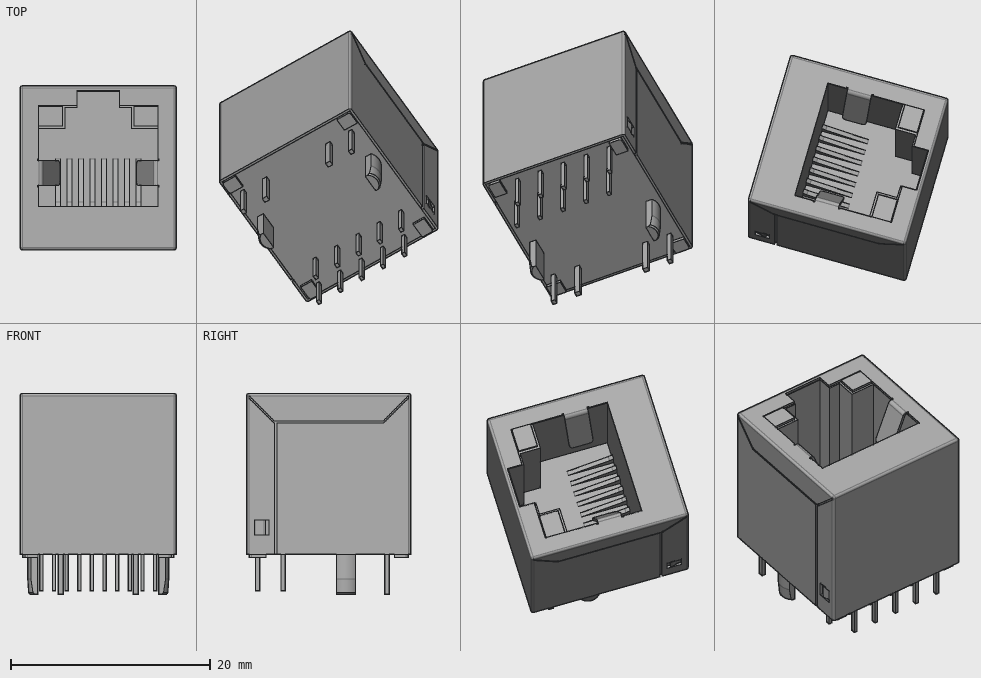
import cadquery as cq
import math


width = 15.7
depth = 16.5
height = 16.17
sheet = 0.25
bend_radius = 0.25

opening_half_width = 6.02
opening_front = -3.86
opening_back = 6.24
notch_half_width = 2.13
notch_back = 7.77
cavity_depth = 12.0
cavity_notch_setback = 0.08
cavity_back_setback = 0.17

tab_front = -1.77
tab_back = 0.72
tab_flat = 0.08
tab_reach = 2.17
tab_bend_radius = 0.44
tab_angle = math.radians(68)
tab_corner_radius = 0.42
tab_relief_width = 0.15
tab_relief_depth = 0.1

seam = 0.17
side_seam = 0.25
flap_height = 2.8
flap_half_width = depth / 2 - flap_height

window_front = -7.48
window_back = -5.98
window_bottom = 1.94
window_top = 3.43
wedge_front = -7.4
wedge_crest_front = -6.5
wedge_back = -6.36
wedge_rise = 0.2

light_inner = 3.6
light_front = 4.19
light_back = 6.16
light_column_inner = 3.36
light_column_front = 3.96

contact_count = 8
contact_pitch = 1.155
contact_width = 0.46
contact_end = 0.89
contact_bend = -3.43
contact_angle = math.radians(12)
contact_bend_angle = math.radians(28)

standoff_height = 0.34
standoff_inner = 6.05
standoff_front_length = 1.7
standoff_back_length = 1.42
standoff_radius = 0.25
standoff_front_outer = 7.35
post_y = 1.73
post_width = 1.94
post_inner = 6.07
post_edge = 6.76
post_outer = 7.09
post_length = 4.03
post_taper_start = 2.5
post_chamfer_start = 3.85
post_face_taper = 0.09
post_edge_taper = 0.2
post_face_chamfer = 0.24
post_edge_chamfer = 0.42
signal_pin_size = (0.35, 0.46)
signal_pin_length = 3.68
signal_pin_pitch = 1.27
signal_pin_count = 10
signal_row_front = -7.15
signal_row_back = -4.58
long_pin_y = 5.85
long_pin_depth = 0.5
inner_long_pin_x = 3.77
inner_long_pin_width = 0.53
outer_long_pin_x = 6.42
outer_long_pin_width = 0.42

housing_width = width - 2 * sheet
housing_depth = depth - 2 * sheet
housing_height = height - sheet


def block(x0, x1, y0, y1, z0, z1):
    """Axis-aligned box between opposite corners."""
    return cq.Workplane("XY").box(x1 - x0, y1 - y0, z1 - z0, centered=False).translate((x0, y0, z0))


def both_sides(solid):
    """The solid together with its mirror image across the YZ plane."""
    return solid.union(solid.mirror("YZ"))


def shield_opening():
    main = block(-opening_half_width, opening_half_width, opening_front, opening_back, housing_height, height)
    notch = block(-notch_half_width, notch_half_width, opening_front, notch_back, housing_height, height)
    return main.union(notch)


def tab_reliefs():
    reliefs = cq.Workplane("XY")
    outer = opening_half_width + tab_relief_depth
    for y0 in (tab_front - tab_relief_width, tab_back):
        reliefs = reliefs.add(
            block(opening_half_width, outer, y0, y0 + tab_relief_width, housing_height, height)
        )
    return both_sides(reliefs.combine())


def spring_tab():
    """Tab on the +X side: a flat root, a bend and a straight leg sloping down into the cavity."""
    centre_x = opening_half_width - tab_flat
    centre_z = height - tab_bend_radius
    inner_radius = tab_bend_radius - sheet

    def on_bend(radius, angle):
        return (centre_x - radius * math.sin(angle), centre_z + radius * math.cos(angle))

    outer_end = on_bend(tab_bend_radius, tab_angle)
    inner_end = on_bend(inner_radius, tab_angle)
    leg = (outer_end[0] - opening_half_width + tab_reach) / math.cos(tab_angle)
    leg_dx = -leg * math.cos(tab_angle)
    leg_dz = -leg * math.sin(tab_angle)
    tab = (
        cq.Workplane("XZ", origin=(0, tab_back, 0))
        .moveTo(opening_half_width, height)
        .lineTo(centre_x, height)
        .threePointArc(on_bend(tab_bend_radius, tab_angle / 2), outer_end)
        .line(leg_dx, leg_dz)
        .lineTo(inner_end[0] + leg_dx, inner_end[1] + leg_dz)
        .lineTo(*inner_end)
        .threePointArc(on_bend(inner_radius, tab_angle / 2), (centre_x, housing_height))
        .lineTo(opening_half_width, housing_height)
        .close()
        .extrude(tab_back - tab_front)
    )
    return tab.faces("<Z").edges("not |Y").fillet(tab_corner_radius)


def flap_seams():
    """Slots on the -X side that part the top flap and the front flap from the side panel."""
    x0 = -width / 2
    x1 = x0 + sheet
    flap_bottom = height - flap_height
    slots = block(x0, x1, -flap_half_width, flap_half_width, flap_bottom - seam, flap_bottom)
    slots = slots.union(block(x0, x1, -flap_half_width, -flap_half_width + side_seam, 0, flap_bottom))
    run = flap_height - sheet
    for side in (-1, 1):
        y = side * flap_half_width
        mitre = (
            cq.Workplane("YZ", origin=(x0, 0, 0))
            .polyline(
                [
                    (y, flap_bottom),
                    (y + side * run, flap_bottom + run),
                    (y + side * run, flap_bottom + run - seam * math.sqrt(2)),
                    (y + side * seam * (math.sqrt(2) - 1), flap_bottom - seam),
                    (y, flap_bottom - seam),
                ]
            )
            .close()
            .extrude(sheet)
        )
        slots = slots.union(mitre)
    return slots


def build_shield():
    shield = (
        block(-width / 2, width / 2, -depth / 2, depth / 2, 0, height)
        .edges("|Z or >Z")
        .fillet(bend_radius)
    )
    shield = shield.cut(
        block(-housing_width / 2, housing_width / 2, -housing_depth / 2, housing_depth / 2, 0, housing_height)
    )
    shield = shield.cut(shield_opening()).cut(tab_reliefs())
    shield = shield.cut(both_sides(flap_seams()))
    window = block(-width / 2, -housing_width / 2, window_front, window_back, window_bottom, window_top)
    shield = shield.cut(both_sides(window))
    return shield.union(both_sides(spring_tab()))


def cavity():
    bottom = housing_height - cavity_depth
    main = block(
        -opening_half_width,
        opening_half_width,
        opening_front,
        opening_back - cavity_back_setback,
        bottom,
        housing_height,
    )
    notch = block(
        -notch_half_width,
        notch_half_width,
        opening_front,
        notch_back - cavity_notch_setback,
        bottom,
        housing_height,
    )
    light_column = block(
        light_column_inner, opening_half_width, light_column_front, opening_back, bottom, housing_height
    )
    return main.union(notch).cut(both_sides(light_column))


def contacts():
    """Ramps rising from the cavity floor to its front wall, steeper past the bend."""
    floor = housing_height - cavity_depth
    bend_z = floor + (contact_end - contact_bend) * math.tan(contact_angle)
    wall_z = bend_z + (contact_bend - opening_front) * math.tan(contact_bend_angle)
    ramps = cq.Workplane("XY")
    for i in range(contact_count):
        x = (i - (contact_count - 1) / 2) * contact_pitch
        ramp = (
            cq.Workplane("YZ", origin=(x - contact_width / 2, 0, 0))
            .polyline(
                [(opening_front, floor), (contact_end, floor), (contact_bend, bend_z), (opening_front, wall_z)]
            )
            .close()
            .extrude(contact_width)
        )
        ramps = ramps.add(ramp)
    return ramps.combine()


def latch_wedge():
    """Wedge on the -X side that stands in the latch window."""
    x = -housing_width / 2
    return (
        cq.Workplane("XY", origin=(0, 0, window_bottom))
        .polyline(
            [(x, wedge_front), (x - wedge_rise, wedge_crest_front), (x - wedge_rise, wedge_back), (x, wedge_back)]
        )
        .close()
        .extrude(window_top - window_bottom)
    )


def standoffs():
    half = housing_depth / 2
    front = block(
        standoff_inner, standoff_front_outer, -half, -half + standoff_front_length, -standoff_height, 0
    )
    back = block(standoff_inner, housing_width / 2, half - standoff_back_length, half, -standoff_height, 0)
    front = front.edges("|Z and >X and <Y").fillet(standoff_radius)
    back = back.edges("|Z and >X and >Y").fillet(standoff_radius)
    return both_sides(front.union(back))


def post_section(face_inset, edge_inset, z):
    """Flat-backed post outline with the crown and the edges of its round face moved inward."""
    y0 = post_y - post_width / 2
    y1 = post_y + post_width / 2
    return (
        cq.Workplane("XY", origin=(0, 0, z))
        .moveTo(post_inner, y0)
        .lineTo(post_edge - edge_inset, y0)
        .threePointArc((post_outer - face_inset, post_y), (post_edge - edge_inset, y1))
        .lineTo(post_inner, y1)
        .close()
        .wires()
        .val()
    )


def locating_post():
    sections = [
        post_section(0, 0, 0),
        post_section(0, 0, -post_taper_start),
        post_section(post_face_taper, post_edge_taper, -post_chamfer_start),
        post_section(post_face_chamfer, post_edge_chamfer, -post_length),
    ]
    return cq.Workplane(cq.Solid.makeLoft(sections, True))


def pin(x, y, size, length):
    return cq.Workplane("XY").center(x, y).rect(*size).extrude(-length)


def build_housing():
    housing = block(
        -housing_width / 2, housing_width / 2, -housing_depth / 2, housing_depth / 2, 0, housing_height
    )
    housing = housing.cut(cavity()).union(contacts())
    light = block(light_inner, opening_half_width, light_front, light_back, housing_height, height)
    for detail in (light, latch_wedge(), locating_post()):
        housing = housing.union(both_sides(detail))
    housing = housing.union(standoffs())
    for i in range(signal_pin_count):
        x = (i - (signal_pin_count - 1) / 2) * signal_pin_pitch
        y = signal_row_front if i % 2 else signal_row_back
        housing = housing.union(pin(x, y, signal_pin_size, signal_pin_length))
    for x, pin_width in ((inner_long_pin_x, inner_long_pin_width), (outer_long_pin_x, outer_long_pin_width)):
        housing = housing.union(both_sides(pin(x, long_pin_y, (pin_width, long_pin_depth), post_length)))
    return housing


shield = build_shield()
housing = build_housing()
result = cq.Compound.makeCompound([*shield.solids().vals(), *housing.solids().vals()])